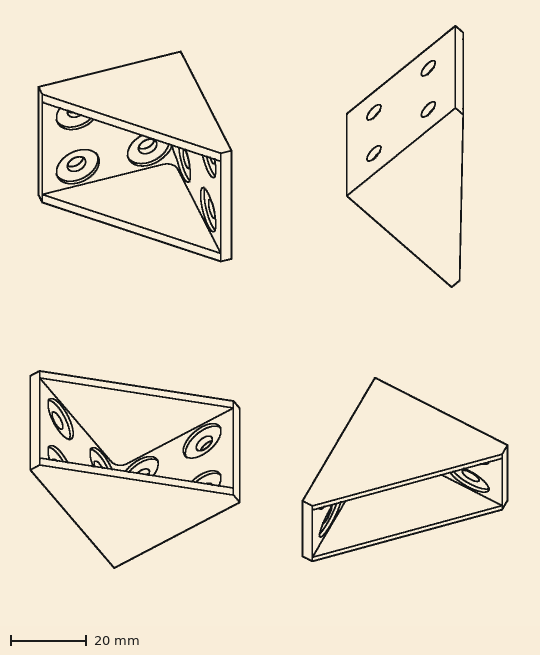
import cadquery as cq

size = 40.0
wall = 3.0
fillet_radius = 3.0
hole_diameter = 5.1
seat_diameter = 12.0
seat_depth = 1.0
hole_pitch = 20.0

edge_offset = (size - hole_pitch) / 2
hole_places = (edge_offset, edge_offset + hole_pitch)

inner_y = size - wall
into_back_wall = (0, -1, 0)
into_side_wall = (1, 0, 0)


def prism(outline, bottom, height):
    """Upright prism whose base lies at z = bottom."""
    return cq.Workplane("XY").workplane(offset=bottom).polyline(outline).close().extrude(height)


def make_walls():
    """Side wall at x = 0 and back wall at y = size, with a filleted inner corner."""
    outline = [(0, 0), (wall, 0), (wall, inner_y), (size, inner_y), (size, size), (0, size)]
    inner_corner = cq.NearestToPointSelector((wall, inner_y, size / 2))
    return prism(outline, 0, size).edges(inner_corner).fillet(fillet_radius)


def make_gusset(bottom):
    """Triangular plate joining the two walls."""
    return prism([(wall, 0), (size, inner_y), (wall, inner_y)], bottom, wall)


def make_counterbored_hole(outer_point, direction):
    """Cutter entering at the outer wall face, widening to a bolt seat on the inside."""
    start = cq.Vector(*outer_point)
    axis = cq.Vector(*direction)
    seat_start = start + axis * (wall - seat_depth)
    hole = cq.Solid.makeCylinder(hole_diameter / 2, wall, start, axis)
    seat = cq.Solid.makeCylinder(seat_diameter / 2, size, seat_start, axis)
    return cq.Workplane(hole).union(cq.Workplane(seat))


result = make_walls()
for gusset_bottom in (0, size - wall):
    result = result.union(make_gusset(gusset_bottom))

for height in hole_places:
    for distance in hole_places:
        result = result.cut(make_counterbored_hole((distance, size, height), into_back_wall))
        result = result.cut(make_counterbored_hole((0, size - distance, height), into_side_wall))